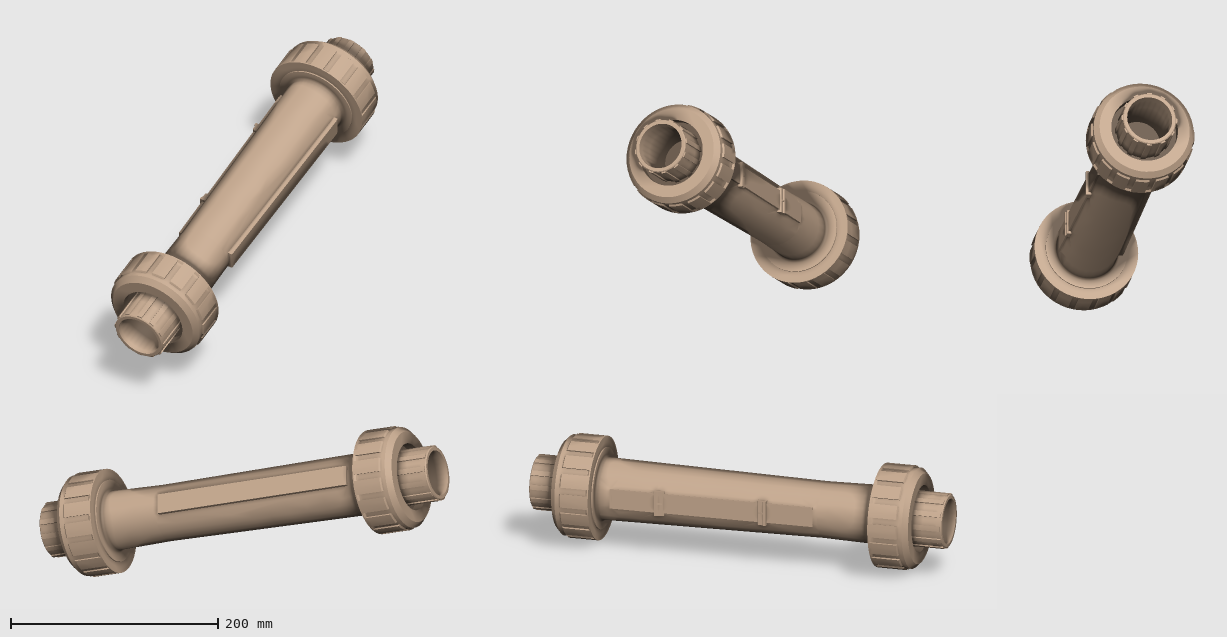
import cadquery as cq
LENGTH = 416.0
HALF_LENGTH = LENGTH / 2

NUT_FACE_Y = 180.0
NUT_BACK_Y = 141.0
NUT_RADIUS = 98.0 / 2
NUT_CHAMFER = 5.0
NUT_MOUTH_RADIUS = 65.5 / 2
NUT_MOUTH_DEPTH = 9.5
GRIP_RADIUS = 101.5 / 2
GRIP_START_Y = 170.5
GRIP_COUNT = 16
GRIP_GAP = 6.2
GRIP_TAPER = 1.2
NUT_RIM_LENGTH = 1.2
NUT_RIM_TAPER = 1.5

COLLAR_RADIUS = 80.0 / 2
COLLAR_BACK_Y = 139.8
COLLAR_FRONT_Y = NUT_BACK_Y + 4.0
TUBE_FILLET = 2.5

SPIGOT_RADIUS = 52.0 / 2
SPIGOT_CHAMFER = 1.0
BORE_RADIUS = 42.0 / 2
BORE_MOUTH_RADIUS = 22.0
BORE_DEPTH = 66.5
RIB_RADIUS = 27.25
RIB_WIDTH = 5.0
RIB_END_GAP = 1.2
RIB_COUNT = 12
TOP_RIB_TURN = 6.5

TUBE_TOP_RADIUS = 30.5
TUBE_WAIST_RADIUS = 27.5
TUBE_BOTTOM_RADIUS = 28.5
TUBE_WAIST_Y = -83.0

STRIP_WIDTH = 19.0
STRIP_TOP_Y = 125.2
STRIP_BOTTOM_Y = -78.5
CARD_TOP_Y = 122.7
CARD_THICKNESS = 0.5
LEFT_RAIL_HEIGHT = 0.2
RIGHT_RAIL_HEIGHT = 2.5

MARKER_WIDTH = 24.0
MARKER_LENGTH = 2.2
MARKER_HEIGHT = 1.5
MARKER_TAPER = 0.3
MARKER_LIP_LENGTH = 0.6
MARKER_LIP_HEIGHT = 3.0
POINTER_WIDTH = 1.5
UPPER_MARKER_Y = 80.0
LOWER_MARKER_Y = -32.5


def revolve_about_y(points):
    """Turn an (X, Y) half outline a full circle about the Y axis."""
    return cq.Workplane("XY").polyline(points).close().revolve(360, (0, 0), (0, 1))


def turn_about_y(shape, degrees):
    return shape.rotate((0, 0, 0), (0, 1, 0), degrees)


def radial_bars(count, width, outline, first_angle=0.0):
    """Bars spread evenly round the Y axis, trimmed to the outline of (radius, Y) points turned about it."""
    y_low = outline[0][1]
    y_high = outline[-1][1]
    reach = max(radius for radius, _ in outline)
    bar = cq.Workplane("XY").box(width, y_high - y_low, reach, centered=(True, False, False))
    bar = bar.translate((0, y_low, 0))
    bars = cq.Workplane("XY")
    for index in range(count):
        bars = bars.union(turn_about_y(bar, first_angle + index * 360 / count))
    limit = revolve_about_y([(0, y_low)] + outline + [(0, y_high)])
    return bars.intersect(limit)


def make_nut():
    """Union nut at the +Y end with raised grip pads that run into a rim at its back."""
    rim_front_y = NUT_BACK_Y + NUT_RIM_LENGTH
    body = revolve_about_y([
        (0, NUT_BACK_Y),
        (GRIP_RADIUS, NUT_BACK_Y),
        (GRIP_RADIUS, rim_front_y),
        (NUT_RADIUS, rim_front_y + NUT_RIM_TAPER),
        (NUT_RADIUS, NUT_FACE_Y - NUT_CHAMFER),
        (NUT_RADIUS - NUT_CHAMFER, NUT_FACE_Y),
        (0, NUT_FACE_Y),
    ])
    pad_outline = [
        (GRIP_RADIUS, NUT_BACK_Y),
        (GRIP_RADIUS, GRIP_START_Y - GRIP_TAPER),
        (NUT_RADIUS, GRIP_START_Y),
    ]
    pad_ring = revolve_about_y([(0, NUT_BACK_Y)] + pad_outline + [(0, GRIP_START_Y)])
    gaps = radial_bars(GRIP_COUNT, GRIP_GAP, pad_outline, 180 / GRIP_COUNT)
    pads = pad_ring.cut(gaps)
    mouth_floor_y = NUT_FACE_Y - NUT_MOUTH_DEPTH
    mouth = revolve_about_y([
        (0, mouth_floor_y),
        (NUT_MOUTH_RADIUS, mouth_floor_y),
        (NUT_MOUTH_RADIUS, NUT_FACE_Y),
        (0, NUT_FACE_Y),
    ])
    return body.union(pads).cut(mouth)


def make_spigot(rib_turn):
    """Ribbed spigot at the +Y end, with its collar behind the nut."""
    core = revolve_about_y([
        (0, COLLAR_BACK_Y),
        (COLLAR_RADIUS, COLLAR_BACK_Y),
        (COLLAR_RADIUS, COLLAR_FRONT_Y),
        (SPIGOT_RADIUS, COLLAR_FRONT_Y),
        (SPIGOT_RADIUS, HALF_LENGTH - SPIGOT_CHAMFER),
        (SPIGOT_RADIUS - SPIGOT_CHAMFER, HALF_LENGTH),
        (0, HALF_LENGTH),
    ])
    rib_outline = [(RIB_RADIUS, COLLAR_FRONT_Y), (RIB_RADIUS, HALF_LENGTH - RIB_END_GAP)]
    ribs = radial_bars(RIB_COUNT, RIB_WIDTH, rib_outline, rib_turn)
    return core.union(ribs)


def make_bore():
    floor_y = HALF_LENGTH - BORE_DEPTH
    return revolve_about_y([
        (0, floor_y),
        (BORE_RADIUS, floor_y),
        (BORE_MOUTH_RADIUS, HALF_LENGTH),
        (0, HALF_LENGTH),
    ])


def make_end(rib_turn):
    return make_nut().union(make_spigot(rib_turn)).cut(make_bore())


def make_tube():
    """Tube with a long and a short taper meeting at the waist, filleted onto both collars."""
    fillet_y = COLLAR_BACK_Y - TUBE_FILLET
    outline = (
        cq.Workplane("XY")
        .moveTo(0, -COLLAR_FRONT_Y)
        .lineTo(TUBE_BOTTOM_RADIUS + TUBE_FILLET, -COLLAR_FRONT_Y)
        .lineTo(TUBE_BOTTOM_RADIUS + TUBE_FILLET, -COLLAR_BACK_Y)
        .radiusArc((TUBE_BOTTOM_RADIUS, -fillet_y), TUBE_FILLET)
        .lineTo(TUBE_WAIST_RADIUS, TUBE_WAIST_Y)
        .lineTo(TUBE_TOP_RADIUS, fillet_y)
        .radiusArc((TUBE_TOP_RADIUS + TUBE_FILLET, COLLAR_BACK_Y), TUBE_FILLET)
        .lineTo(TUBE_TOP_RADIUS + TUBE_FILLET, COLLAR_FRONT_Y)
        .lineTo(0, COLLAR_FRONT_Y)
        .close()
    )
    return outline.revolve(360, (0, 0), (0, 1))


def tube_radius(y):
    """Radius of the long taper at the place y along the tube."""
    share = (y - TUBE_WAIST_Y) / (COLLAR_BACK_Y - TUBE_WAIST_Y)
    return TUBE_WAIST_RADIUS + share * (TUBE_TOP_RADIUS - TUBE_WAIST_RADIUS)


def side_block(side, profile, width):
    """Block on the side +1 (+X) or -1 (-X) whose top follows (Y, height above the taper) points."""
    top = [(side * (tube_radius(y) + height), y) for y, height in profile]
    outline = [(0, profile[0][0])] + top + [(0, profile[-1][0])]
    return cq.Workplane("XY").polyline(outline).close().extrude(width / 2, both=True)


def make_strip(side, rail_height):
    """Flat rail along the taper, covered by a thin card that starts a little below its top end."""
    card_height = rail_height + CARD_THICKNESS
    profile = [
        (STRIP_BOTTOM_Y, card_height),
        (CARD_TOP_Y, card_height),
        (CARD_TOP_Y, rail_height),
        (STRIP_TOP_Y, rail_height),
    ]
    return side_block(side, profile, STRIP_WIDTH)


def make_marker(outer_y, direction):
    """Marker with its lip at outer_y; direction is the sign of Y from the lip to the rest."""
    lip_end_y = outer_y + direction * MARKER_LIP_LENGTH
    lip_foot_y = lip_end_y + direction * MARKER_TAPER
    inner_y = outer_y + direction * MARKER_LENGTH
    taper_y = inner_y - direction * MARKER_TAPER
    body_profile = [
        (outer_y, MARKER_LIP_HEIGHT),
        (lip_end_y, MARKER_LIP_HEIGHT),
        (lip_foot_y, MARKER_HEIGHT),
        (taper_y, MARKER_HEIGHT),
        (inner_y, LEFT_RAIL_HEIGHT),
    ]
    pointer_profile = [
        (outer_y, MARKER_LIP_HEIGHT),
        (lip_end_y, MARKER_LIP_HEIGHT),
        (taper_y, MARKER_HEIGHT),
    ]
    body = side_block(-1, body_profile, MARKER_WIDTH)
    pointer = side_block(-1, pointer_profile, POINTER_WIDTH)
    return body.union(pointer)


top_end = make_end(TOP_RIB_TURN)
bottom_end = make_end(0).rotate((0, 0, 0), (0, 0, 1), 180)

result = (
    make_tube()
    .union(make_strip(-1, LEFT_RAIL_HEIGHT))
    .union(make_strip(1, RIGHT_RAIL_HEIGHT))
    .union(make_marker(UPPER_MARKER_Y, -4))
    .union(make_marker(LOWER_MARKER_Y, 4))
    .union(top_end)
    .union(bottom_end)
)